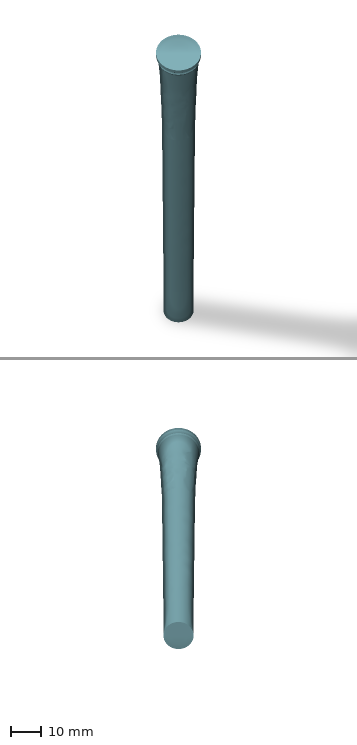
import cadquery as cq

total_length = 141.4
spigot_diameter = 10.0
spigot_length = 16.5

shaft_top_height = 100.4
shaft_top_radius = 5.5

flare_lower_height = 118.8
flare_lower_radius = 6.0
flare_upper_height = 131.4
flare_upper_radius = 6.4
flare_top_height = 137.7
flare_top_radius = 6.8

bead_radius = 7.0
bead_height = 138.5
neck_radius = 6.8
neck_height = 139.0
head_diameter = 15.0
head_thickness = 1.4

spigot_radius = spigot_diameter / 2
head_radius = head_diameter / 2
head_underside = total_length - head_thickness

flare_points = [
    (flare_lower_radius, flare_lower_height),
    (flare_upper_radius, flare_upper_height),
    (flare_top_radius, flare_top_height),
]

shaft_direction = (shaft_top_radius - spigot_radius, shaft_top_height - spigot_length)
flare_end_direction = (flare_top_radius - flare_upper_radius, flare_top_height - flare_upper_height)

profile = (
    cq.Workplane("XZ")
    .lineTo(spigot_radius, 0)
    .lineTo(spigot_radius, spigot_length)
    .lineTo(shaft_top_radius, shaft_top_height)
    .spline(flare_points, tangents=[shaft_direction, flare_end_direction], includeCurrent=True)
    .lineTo(bead_radius, bead_height)
    .lineTo(neck_radius, neck_height)
    .lineTo(head_radius, head_underside)
    .lineTo(head_radius, total_length)
    .lineTo(0, total_length)
    .close()
)

result = profile.revolve(360, (0, 0, 0), (0, 1, 0))